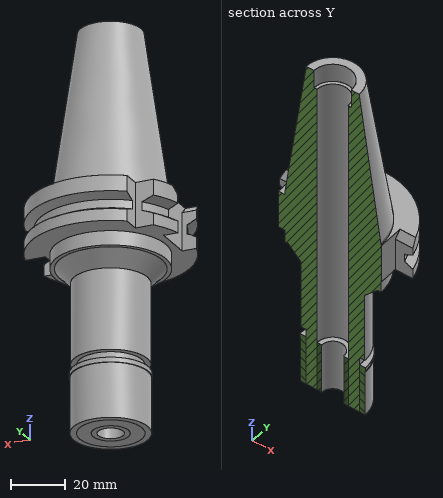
import cadquery as cq

total_height = 158.4
gauge_z = 90.0
flange_top = 89.0
flange_bottom = 71.0
shoulder_bottom = 65.3
shank_top = 59.4
shank_bottom = 27.1
nut_top = 23.8

gauge_diameter = 44.5
taper_ratio = 7 / 24
flange_diameter = 63.5
shank_diameter = 29.5
spigot_diameter = 25.0

groove_z = 79.2
groove_root_width = 3.3
groove_root_diameter = 56.2
groove_mouth_width = 7.1

slot_width = 16.0
slot_floor_left = 25.0
slot_floor_right = 22.7
slot_chamfer = 2.9

notch_wall_distance = 18.5

entry_diameter = 17.1
entry_depth = 8.5
bore_diameter = 14.3
tool_bore_diameter = 10.0

nut_diameter = 30.0
collar_diameter = 30.4
collar_height = 1.9


def cylinder(diameter, bottom, top):
    """Cylinder on the Z axis between two heights."""
    return cq.Workplane("XY").workplane(offset=bottom).circle(diameter / 2).extrude(top - bottom)


def revolve_profile(points):
    """Solid of revolution about Z from (radius, height) points."""
    return cq.Workplane("XZ").polyline(points).close().revolve(360, (0, 0, 0), (0, 1, 0))


def make_holder_blank():
    """Taper, flange, shoulder, shank and spigot as one turned shape."""
    gauge_radius = gauge_diameter / 2
    taper_end_radius = gauge_radius - (total_height - gauge_z) * taper_ratio / 2
    flange_radius = flange_diameter / 2
    shank_radius = shank_diameter / 2
    cone_top_radius = shank_radius + (shoulder_bottom - shank_top)
    spigot_radius = spigot_diameter / 2
    groove_root_radius = groove_root_diameter / 2
    half_root = groove_root_width / 2
    half_mouth = groove_mouth_width / 2
    return revolve_profile([
        (0, 0),
        (spigot_radius, 0),
        (spigot_radius, shank_bottom),
        (shank_radius, shank_bottom),
        (shank_radius, shank_top),
        (cone_top_radius, shoulder_bottom),
        (gauge_radius, shoulder_bottom),
        (gauge_radius, flange_bottom),
        (flange_radius, flange_bottom),
        (flange_radius, groove_z - half_mouth),
        (groove_root_radius, groove_z - half_root),
        (groove_root_radius, groove_z + half_root),
        (flange_radius, groove_z + half_mouth),
        (flange_radius, flange_top),
        (gauge_radius, flange_top),
        (gauge_radius, gauge_z),
        (taper_end_radius, total_height),
        (0, total_height),
    ])


def make_slot_cutter(side, floor_distance):
    """Drive slot with chamfered upper edges, on the -X (side = -1) or +X (side = 1) face."""
    half_width = slot_width / 2
    outline = [
        (-half_width, flange_bottom),
        (half_width, flange_bottom),
        (half_width, flange_top - slot_chamfer),
        (half_width + slot_chamfer, flange_top),
        (-half_width - slot_chamfer, flange_top),
        (-half_width, flange_top - slot_chamfer),
    ]
    return (
        cq.Workplane("YZ")
        .workplane(offset=side * floor_distance)
        .polyline(outline)
        .close()
        .extrude(side * flange_diameter / 2)
    )


def make_notch_cutter():
    """Square corner cut through the full flange height in the -X, +Y quadrant."""
    size = flange_diameter / 2
    return (
        cq.Workplane("XY")
        .workplane(offset=flange_bottom)
        .center(-notch_wall_distance, notch_wall_distance)
        .rect(-size, size, centered=False)
        .extrude(flange_top - flange_bottom)
    )


def make_holder():
    return (
        make_holder_blank()
        .cut(make_slot_cutter(-1, slot_floor_left))
        .cut(make_slot_cutter(1, slot_floor_right))
        .cut(make_notch_cutter())
        .cut(cylinder(bore_diameter, 0, total_height))
        .cut(cylinder(entry_diameter, total_height - entry_depth, total_height))
    )


def make_nut():
    """Ring around the spigot, flush with its end."""
    body = cylinder(nut_diameter, 0, nut_top)
    collar = cylinder(collar_diameter, nut_top - collar_height, nut_top)
    return body.union(collar).cut(cylinder(spigot_diameter, 0, nut_top))


def make_collet():
    """Sleeve that fills the front of the holder bore, as long as the nut."""
    return cylinder(bore_diameter, 0, nut_top).cut(cylinder(tool_bore_diameter, 0, nut_top))


holder = make_holder()
nut = make_nut()
collet = make_collet()

result = cq.Compound.makeCompound([holder.val(), nut.val(), collet.val()])